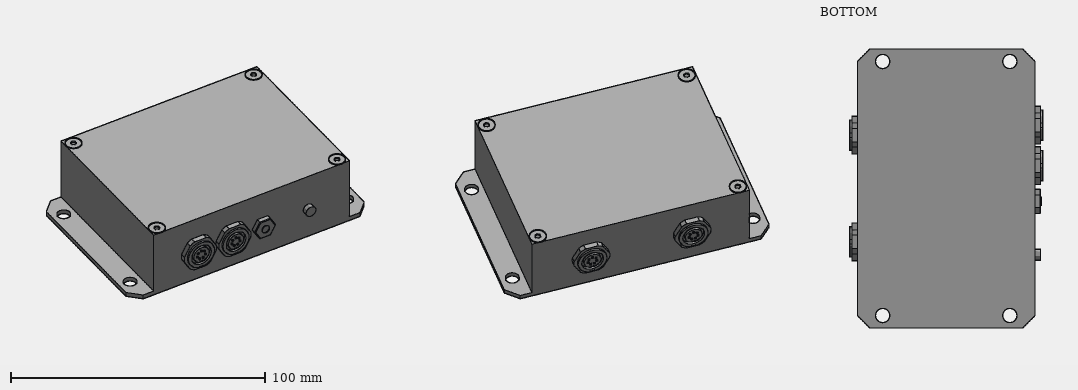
import cadquery as cq
import math

width = 70.0
width_over_connectors = 76.0
height = 30.0
plate_length = 110.0
box_length = 90.4
sheet = 2.0
plate_chamfer = 5.0

hexagon_flats_share = math.cos(math.pi / 6)

mount_hole_diameter = 5.5
mount_pitch_x = 50.0
mount_pitch_y = 100.0

screw_inset_x = 3.5
screw_inset_y = 3.6
screw_recess_diameter = 6.8
screw_head_diameter = 6.5
screw_recess_depth = 0.3
socket_corner_diameter = 2.4
socket_depth = 0.7
socket_tip_depth = 0.7

nut_flats = 14.0
nut_corner_diameter = 15.0
nut_thickness = 2.2
collar_diameter = 12.0
connector_reach = (width_over_connectors - width) / 2
groove_outer_diameter = 9.0
insert_diameter = 7.0
groove_depth = 1.1
key_width = 1.1
key_depth = 0.4
collar_key_width = 1.8
collar_key_depth = 0.3
contact_count = 7
contact_circle_diameter = 3.7
contact_hole_diameter = 0.9
contact_pin_diameter = 0.5
contact_depth = 0.5
left_connector_z = 15.1
left_connectors_y = (21.0, -21.0)
right_fittings_z = 13.9
right_connectors_y = (-9.0, -25.0)

push_pin_diameter = 4.5
push_pin_reach = 2.2
push_pin_y = 26.1
button_nut_corners = 9.7
button_nut_thickness = 2.2
button_nut_chamfer = 0.3
button_diameter = 3.4
button_reach = 2.5
button_y = 5.1


def hexagon(corner_diameter, thickness):
    return cq.Workplane("XY").polygon(6, corner_diameter).extrude(thickness)


def cylinder(diameter, thickness):
    return cq.Workplane("XY").circle(diameter / 2).extrude(thickness)


def mount_on_wall(fitting, side, y, z):
    """Turn a fitting built along +Z so that it stands out of the -X or +X wall; its +X becomes +Y."""
    wall = cq.Plane(origin=(side * width / 2, y, z), xDir=(0, 1, 0), normal=(side, 0, 0))
    return cq.Workplane(obj=fitting.val().moved(cq.Location(wall)))


def enclosure():
    plate = (
        cq.Workplane("XY")
        .rect(width, plate_length)
        .extrude(sheet)
        .edges("|Z")
        .chamfer(plate_chamfer)
    )
    mount_holes = (
        cq.Workplane("XY")
        .rect(mount_pitch_x, mount_pitch_y, forConstruction=True)
        .vertices()
        .circle(mount_hole_diameter / 2)
        .extrude(sheet)
    )
    box = cq.Workplane("XY").rect(width, box_length).extrude(height)
    return plate.cut(mount_holes).union(box)


def screw_cut():
    """Material removed around one screw head and inside its hex socket, measured down from the lid."""
    gap = cylinder(screw_recess_diameter, -screw_recess_depth).cut(
        cylinder(screw_head_diameter, -screw_recess_depth)
    )
    socket = hexagon(socket_corner_diameter, -socket_depth)
    tip_radius = socket_corner_diameter / 2 * hexagon_flats_share
    tip = cq.Workplane(
        obj=cq.Solid.makeCone(
            tip_radius, 0, socket_tip_depth, cq.Vector(0, 0, -socket_depth), cq.Vector(0, 0, -1)
        )
    )
    return gap.union(socket.union(tip))


def connector(side):
    """Socket with a lock nut, a collar, a ring groove and a keyed insert with contacts."""
    nut_corners = nut_flats / hexagon_flats_share
    nut = hexagon(nut_corners, nut_thickness).intersect(cylinder(nut_corner_diameter, nut_thickness))
    body = nut.union(cylinder(collar_diameter, connector_reach))
    floor = connector_reach - groove_depth
    groove = cylinder(groove_outer_diameter, groove_depth).cut(cylinder(insert_diameter, groove_depth))
    body = body.cut(groove.translate((0, 0, floor)))

    down = -side
    key = cq.Workplane("XY").box(key_width, key_depth * 2, groove_depth, centered=(True, True, False))
    body = body.cut(key.translate((0, down * insert_diameter / 2, floor)))
    collar_key = cq.Workplane("XY").box(
        collar_key_width, collar_key_depth * 2, connector_reach - nut_thickness, centered=(True, True, False)
    )
    body = body.cut(collar_key.translate((0, down * collar_diameter / 2, nut_thickness)))

    contact_gap = cylinder(contact_hole_diameter, contact_depth).cut(
        cylinder(contact_pin_diameter, contact_depth)
    )
    first_contact_y = -down * contact_circle_diameter / 2
    contact_gap = contact_gap.translate((0, first_contact_y, connector_reach - contact_depth))
    for index in range(contact_count):
        body = body.cut(contact_gap.rotate((0, 0, 0), (0, 0, 1), index * 360 / contact_count))
    return body


def button():
    nut = hexagon(button_nut_corners, button_nut_thickness).faces(">Z").chamfer(button_nut_chamfer)
    return nut.union(cylinder(button_diameter, button_reach))


result = enclosure()

for x_sign in (-1, 1):
    for y_sign in (-1, 1):
        x = x_sign * (width / 2 - screw_inset_x)
        y = y_sign * (box_length / 2 - screw_inset_y)
        result = result.cut(screw_cut().translate((x, y, height)))

for y in left_connectors_y:
    result = result.union(mount_on_wall(connector(-1), -1, y, left_connector_z))

for y in right_connectors_y:
    result = result.union(mount_on_wall(connector(1), 1, y, right_fittings_z))

push_pin = cylinder(push_pin_diameter, push_pin_reach)
result = result.union(mount_on_wall(push_pin, 1, push_pin_y, right_fittings_z))
result = result.union(mount_on_wall(button(), 1, button_y, right_fittings_z))